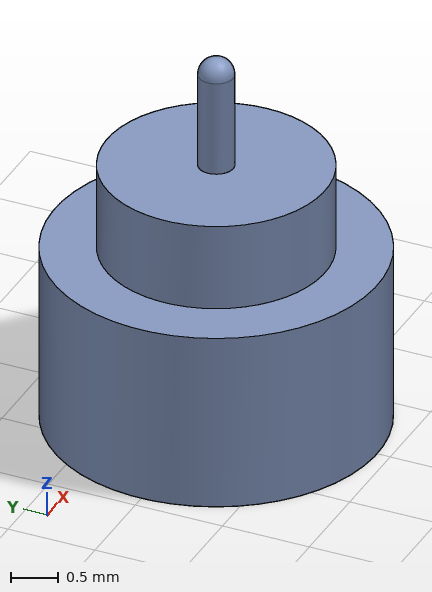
import cadquery as cq

total_height = 4.35
base_diameter = 3.7
base_height = 2.055
collar_diameter = 2.5
collar_height = 1.0
pin_diameter = 0.39

pin_radius = pin_diameter / 2
pin_height = total_height - base_height - collar_height

base = cq.Workplane("XY").circle(base_diameter / 2).extrude(base_height)

stepped_body = base.faces(">Z").workplane().circle(collar_diameter / 2).extrude(collar_height)

pin_shaft_height = pin_height - pin_radius
pinned_body = stepped_body.faces(">Z").workplane().circle(pin_radius).extrude(pin_shaft_height)
tip = cq.Workplane("XY").sphere(pin_radius).translate((0, 0, total_height - pin_radius))

result = pinned_body.union(tip)